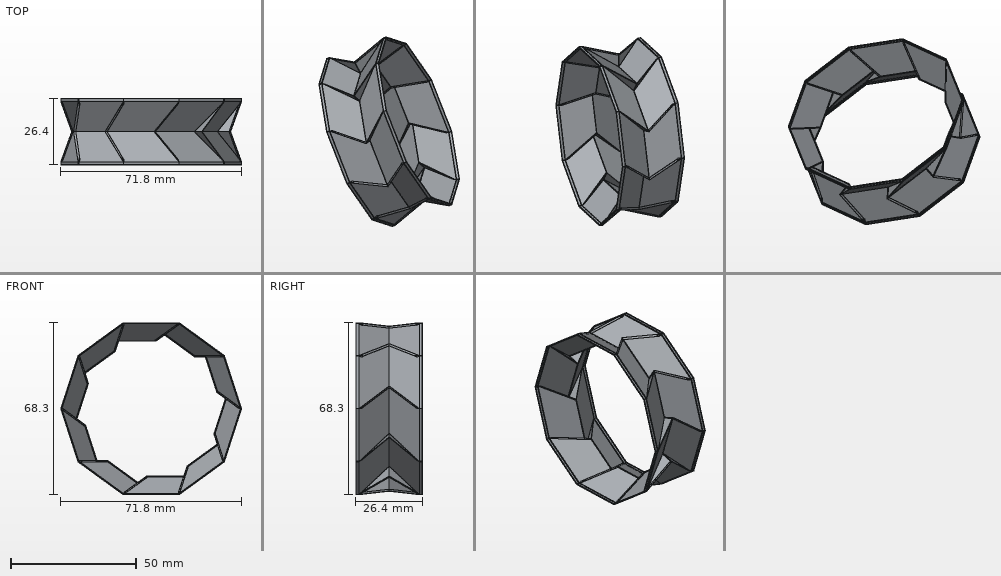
import cadquery as cq
import math

side_count = 10
rim_radius = 35.9
ring_width = 26.4
rim_width = 1.2
wall = 0.38

waist_height = 27.2
waist_start = -18.3
waist_end = 1.45

side_angle = 2 * math.pi / side_count
rim_apothem = rim_radius * math.cos(side_angle / 2)
rim_half_side = rim_radius * math.sin(side_angle / 2)
end_y = ring_width / 2
fold_y = end_y - rim_width


def turned(point, step):
    """Turn an (x, z) point clockwise about the ring axis by a number of sides."""
    x, z = point
    cosine = math.cos(step * side_angle)
    sine = math.sin(step * side_angle)
    return (cosine * x + sine * z, cosine * z - sine * x)


def inset(points, distance):
    """Move every edge of a clockwise (x, z) outline inward by a distance, keeping sharp corners."""
    moved = []
    for i, (x, z) in enumerate(points):
        x_before, z_before = points[i - 1]
        x_after, z_after = points[(i + 1) % len(points)]
        heading_in = math.atan2(z - z_before, x - x_before)
        heading_out = math.atan2(z_after - z, x_after - x)
        inward = (heading_in + heading_out - math.pi) / 2
        half_turn = (heading_out - heading_in) / 2
        miter = distance / math.cos(half_turn)
        moved.append((x + miter * math.cos(inward), z + miter * math.sin(inward)))
    return moved


def flat_face(corners):
    return cq.Face.makeFromWires(cq.Wire.makePolygon([cq.Vector(*c) for c in corners], close=True))


def folded_body(rim, waist, creases):
    """Solid with a rim outline at both ends, folded in to the waist outline at Y = 0.

    Each crease lists the (x, y, z) points, on the +Y half, from a rim corner to the tip of its step.
    """
    faces = []
    for side in (-1, 1):
        end_corners = [(x, side * end_y, z) for x, z in rim]
        folds = [[(x, side * y, z) for x, y, z in crease] for crease in creases]
        middle = [(x, 0, z) for x, z in waist]
        faces.append(flat_face(end_corners))
        for i in range(side_count):
            j = (i + 1) % side_count
            start = middle[2 * i]
            end = middle[2 * i + 1]
            next_start = middle[2 * j]
            band = [end_corners[i], end_corners[j], folds[j][0], folds[i][0]]
            panel = folds[i][::-1] + folds[j] + [end, start]
            step = [folds[j][-1], next_start, end]
            faces.extend([flat_face(band), flat_face(panel), flat_face(step)])
    return cq.Workplane(cq.Solid.makeSolid(cq.Shell.makeShell(faces)))


rim_outline = []
waist_outline = []
for k in range(side_count):
    rim_outline.append(turned((-rim_half_side, rim_apothem), k))
    waist_outline.append(turned((waist_start, waist_height), k))
    waist_outline.append(turned((waist_end, waist_height), k))

inner_rim = inset(rim_outline, wall)
inner_waist = inset(waist_outline, wall)

outer_creases = []
inner_creases = []
for k in range(side_count):
    corner_x, corner_z = rim_outline[k]
    step_x, step_z = waist_outline[2 * k - 1]
    inner_step_x, inner_step_z = inner_waist[2 * k - 1]
    inner_step = math.dist(inner_waist[2 * k - 1], inner_waist[2 * k])
    tip = inner_step / math.dist(waist_outline[2 * k - 1], waist_outline[2 * k])
    tip_point = (
        inner_step_x + tip * (corner_x - step_x),
        tip * fold_y,
        inner_step_z + tip * (corner_z - step_z),
    )
    inner_corner_x, inner_corner_z = inner_rim[k]
    outer_creases.append([(corner_x, fold_y, corner_z)])
    inner_creases.append([(inner_corner_x, fold_y, inner_corner_z), tip_point])

outside = folded_body(rim_outline, waist_outline, outer_creases)
inside = folded_body(inner_rim, inner_waist, inner_creases)
result = outside.cut(inside)